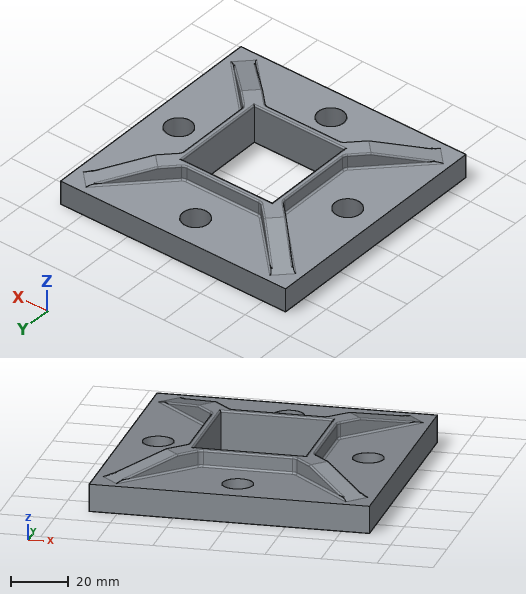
import cadquery as cq

PLATE_SIDE = 100
PLATE_HEIGHT = 10
HOLE_DIAMETER = 11
HOLE_OFFSET = 37.5

OPENING_SIDE = 40
FRAME_WALL = 2.5
FRAME_HEIGHT = 6
FRAME_SIDE = OPENING_SIDE + 2 * FRAME_WALL
TOP = PLATE_HEIGHT + FRAME_HEIGHT

RIB_WIDTH = 7.8
RIB_REACH = 62.3
RIB_FLAT_REACH = 37.2
RIB_ANGLES = (45, 135)

CORNER_RADIUS = 2.5
EDGE_RADIUS = 0.6
ROOT_RADIUS = 0.7

OVERRUN = 2 * ROOT_RADIUS
RIB_END = RIB_REACH + OVERRUN
TIP_DIP = OVERRUN * FRAME_HEIGHT / (RIB_REACH - RIB_FLAT_REACH)
RAISED_BOTTOM = PLATE_HEIGHT / 2

TOLERANCE = 0.01


def block(length, width, bottom, top):
    """Box centred on the Z axis, between two heights."""
    return cq.Workplane("XY", origin=(0, 0, bottom)).rect(length, width).extrude(top - bottom)


def turned(shape, angle):
    """The shape turned about the Z axis."""
    return shape.rotate((0, 0, 0), (0, 0, 1), angle)


def is_upright(edge):
    """True for edges parallel to Z."""
    box = edge.BoundingBox()
    return max(box.xlen, box.ylen) < TOLERANCE


def is_frame_corner(edge):
    """True for the upright edges where a rib side meets a frame wall."""
    centre = edge.Center()
    on_wall = abs(max(abs(centre.x), abs(centre.y)) - FRAME_SIDE / 2) < TOLERANCE
    return is_upright(edge) and on_wall


def is_root(edge):
    """True for the edges between the raised walls and the plate's top face."""
    box = edge.BoundingBox()
    level = abs(box.zmin - PLATE_HEIGHT) < TOLERANCE and abs(box.zmax - PLATE_HEIGHT) < TOLERANCE
    on_rim = max(abs(edge.Center().x), abs(edge.Center().y)) > PLATE_SIDE / 2 - TOLERANCE
    return level and not on_rim


def is_upper_edge(edge):
    """True for the edges along the top of the frame walls and along both sides of the rib slopes."""
    reaches_top = edge.BoundingBox().zmax > TOP - TOLERANCE
    centre = edge.Center()
    across_rib = abs(abs(centre.x) - abs(centre.y)) < TOLERANCE
    return reaches_top and not is_upright(edge) and not across_rib


def fillet_where(shape, wanted, radius):
    """Round every edge that passes the test."""
    return shape.newObject([e for e in shape.edges().vals() if wanted(e)]).fillet(radius)


def make_full_height_walls():
    """Frame and level ribs in one piece, with rounded inside corners between them."""
    walls = block(FRAME_SIDE, FRAME_SIDE, RAISED_BOTTOM, TOP)
    for angle in RIB_ANGLES:
        walls = walls.union(turned(block(2 * RIB_END, RIB_WIDTH, RAISED_BOTTOM, TOP), angle))
    return fillet_where(walls.clean(), is_frame_corner, CORNER_RADIUS)


def cut_to_slopes(shape):
    """Keep what lies below the rib slopes, which fall away along both diagonals."""
    profile = [
        (-RIB_END, RAISED_BOTTOM),
        (RIB_END, RAISED_BOTTOM),
        (RIB_END, PLATE_HEIGHT - TIP_DIP),
        (RIB_FLAT_REACH, TOP),
        (-RIB_FLAT_REACH, TOP),
        (-RIB_END, PLATE_HEIGHT - TIP_DIP),
    ]
    for angle in RIB_ANGLES:
        envelope = cq.Workplane("XZ").polyline(profile).close().extrude(PLATE_SIDE, both=True)
        shape = shape.intersect(turned(envelope, angle))
    return shape


def make_raised_part(walls):
    """Frame and sloping ribs with rounded upper edges."""
    return fillet_where(cut_to_slopes(walls), is_upper_edge, EDGE_RADIUS)


def make_root_skirt(walls):
    """Low band around the walls that carries the root fillet down to the plate."""
    skirt = block(PLATE_SIDE, PLATE_SIDE, RAISED_BOTTOM, PLATE_HEIGHT).union(walls)
    skirt = fillet_where(skirt, is_root, ROOT_RADIUS)
    skirt = skirt.intersect(block(PLATE_SIDE, PLATE_SIDE, RAISED_BOTTOM, PLATE_HEIGHT + ROOT_RADIUS))
    return cut_to_slopes(skirt)


def cut_opening(shape):
    """Square through opening with a rounded upper rim."""
    shape = shape.cut(block(OPENING_SIDE, OPENING_SIDE, 0, TOP))
    half = OPENING_SIDE / 2 + TOLERANCE
    rim = cq.selectors.BoxSelector((-half, -half, TOP - TOLERANCE), (half, half, TOP + TOLERANCE))
    return shape.edges(rim).fillet(EDGE_RADIUS)


def cut_holes(shape):
    """Four through holes on the plate's centre lines."""
    holes = (
        cq.Workplane("XY")
        .polarArray(HOLE_OFFSET, 0, 360, 4)
        .circle(HOLE_DIAMETER / 2)
        .extrude(PLATE_HEIGHT)
    )
    return shape.cut(holes)


walls = make_full_height_walls()
plate = block(PLATE_SIDE, PLATE_SIDE, 0, PLATE_HEIGHT)
body = plate.union(make_root_skirt(walls)).union(make_raised_part(walls))
result = cut_holes(cut_opening(body))